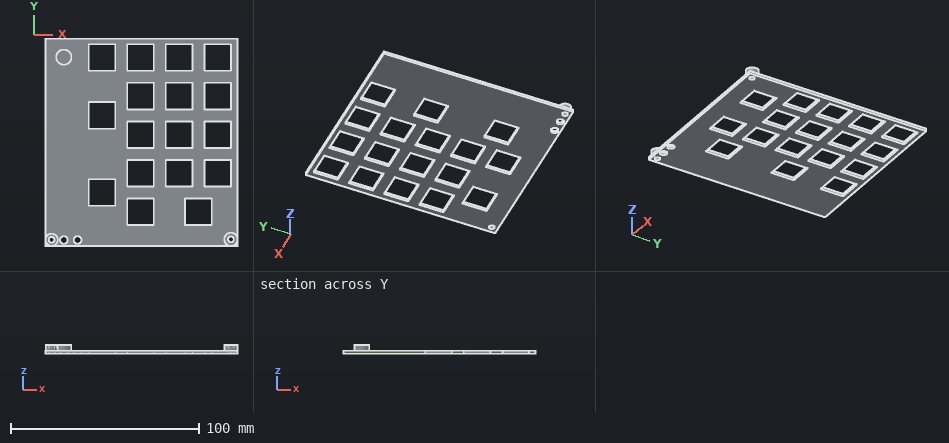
import cadquery as cq

plate_width = 102.0
plate_length = 110.0
plate_thickness = 1.6
total_height = 4.7
boss_height = total_height - plate_thickness

key_size = 14.0
key_pitch = 20.5
first_key_x = 30.0
first_key_y = 100.0

screw_hole_diameter = 3.0
left_boss_diameter = 6.5
left_boss_center = (3.3, 3.3)
right_boss_diameter = 7.0
right_boss_center = (plate_width - right_boss_diameter / 2, right_boss_diameter / 2)
peg_diameter = 8.0
peg_center = (9.8, 100.2)
cable_hole_diameter = 4.0
cable_hole_centers = [(9.8, 3.2), (17.0, 3.2)]

key_places = [(column, row) for column in (1, 2, 3) for row in range(4)]
key_places += [(0, 0), (0, 1.5), (0, 3.5)]
key_places += [(1, 4), (2.5, 4)]
key_centers = [
    (first_key_x + column * key_pitch, first_key_y - row * key_pitch)
    for column, row in key_places
]


def cylinder(center, diameter, bottom, height):
    """Upright cylinder standing at the given height."""
    return cq.Workplane("XY", origin=(*center, bottom)).circle(diameter / 2).extrude(height)


plate = cq.Workplane("XY").box(plate_width, plate_length, plate_thickness, centered=False)
key_openings = (
    cq.Workplane("XY").pushPoints(key_centers).rect(key_size, key_size).extrude(plate_thickness)
)
result = plate.cut(key_openings)

for center, diameter in [
    (left_boss_center, left_boss_diameter),
    (right_boss_center, right_boss_diameter),
    (peg_center, peg_diameter),
]:
    result = result.union(cylinder(center, diameter, plate_thickness, boss_height))

for center in (left_boss_center, right_boss_center):
    result = result.cut(cylinder(center, screw_hole_diameter, 0, total_height))

for center in cable_hole_centers:
    result = result.cut(cylinder(center, cable_hole_diameter, 0, plate_thickness))